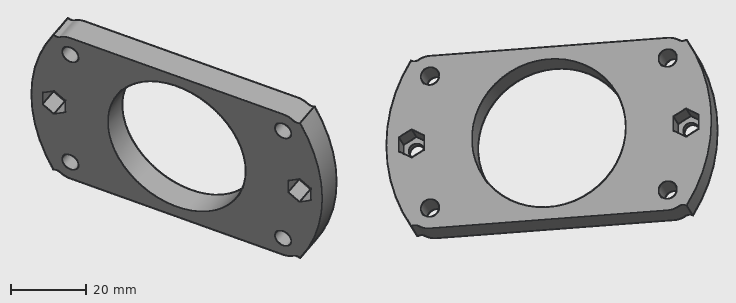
import cadquery as cq
import math

length = 88.7
height = 49.0
thickness = 8.0
bore_diameter = 42.0

bolt_circle_radius = 37.4
corner_hole_angle = math.radians(30)
corner_hole_diameter = 5.0
side_hole_diameter = 4.2
nut_across_flats = 6.9
nut_pocket_depth = 6.0

hollow_radius = 1.95
shoulder_width = 3.1

corner_x = bolt_circle_radius * math.cos(corner_hole_angle)
corner_z = bolt_circle_radius * math.sin(corner_hole_angle)
shoulder_radius = height / 2 - corner_z
shoulder_angle = math.asin(shoulder_width / shoulder_radius)


def quadrant_edge(outline):
    """Trace the +X, +Z quarter, from the middle of the top to the +X side."""

    def on_shoulder(angle, radius=shoulder_radius):
        return (corner_x + radius * math.sin(angle), corner_z + radius * math.cos(angle))

    hollow_x, hollow_z = on_shoulder(shoulder_angle, shoulder_radius + hollow_radius)
    hollow_end = (hollow_x + hollow_radius, hollow_z)
    return (
        outline.lineTo(corner_x, height / 2)
        .threePointArc(on_shoulder(shoulder_angle / 2), on_shoulder(shoulder_angle))
        .threePointArc((hollow_x, hollow_z - hollow_radius), hollow_end)
        .lineTo(length / 2, hollow_z)
        .lineTo(length / 2, 0)
    )


def make_plate():
    outline = quadrant_edge(cq.Workplane("XZ").moveTo(0, height / 2))
    quarter = outline.lineTo(0, 0).close().extrude(-thickness)
    half = quarter.union(quarter.mirror("YZ"))
    blank = half.union(half.mirror("XY"))
    disc = cq.Workplane("XZ").circle(length / 2).extrude(-thickness)
    return blank.intersect(disc).clean()


def make_holes(points, diameter):
    return cq.Workplane("XZ").pushPoints(points).circle(diameter / 2).extrude(-thickness)


def make_nut_pockets(points):
    """Hexagonal pockets sunk from the front face, with corners pointing up and down."""
    across_corners = nut_across_flats / math.cos(math.radians(30))
    pockets = cq.Workplane("XZ")
    for x, z in points:
        pocket = (
            cq.Workplane("XZ")
            .polygon(6, across_corners)
            .extrude(-nut_pocket_depth)
            .rotate((0, 0, 0), (0, 1, 0), 30)
            .translate((x, 0, z))
        )
        pockets = pockets.add(pocket)
    return pockets.combine()


corner_points = [(sx * corner_x, sz * corner_z) for sx in (-1, 1) for sz in (-1, 1)]
side_points = [(-bolt_circle_radius, 0), (bolt_circle_radius, 0)]

result = (
    make_plate()
    .cut(make_holes([(0, 0)], bore_diameter))
    .cut(make_holes(corner_points, corner_hole_diameter))
    .cut(make_holes(side_points, side_hole_diameter))
    .cut(make_nut_pockets(side_points))
)